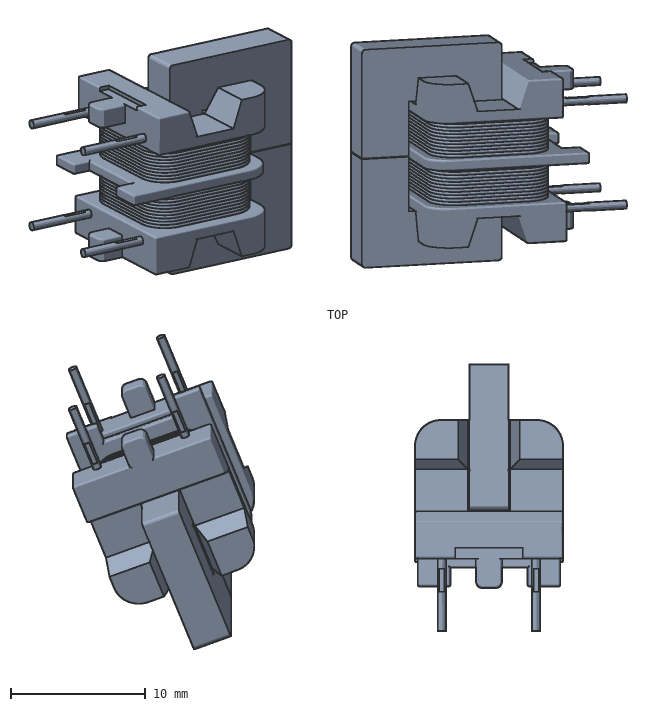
import cadquery as cq
import math

core_width = 2.93
core_height = 16.5
core_back = 9.4
leg_half_depth = 1.47
leg_y = 0.05
window_back = 5.78
window_half_height = 4.15
core_edge_radius = 0.3
core_joint_gap = 0.05

passage_half = 1.56
flange_width = 11.0
flange_back = 5.29
flange_corner_radius = 1.96
edge_radius = 0.15
upper_flange_front = -5.0
lower_flange_front = -5.29
channel_mouth_half = 2.3

middle_half_thickness = 0.42
flange_inner = 3.19
channel_floor = 4.04
flange_outer = 6.18
bobbin_z = channel_floor - window_half_height

middle_width = 10.6
middle_front = -7.09
notch_front = -5.7
notch_width = 5.7

winding_size = 9.23
winding_corner_radius = 2.1
turns_per_section = 11
turn_pitch = (flange_inner - middle_half_thickness) / turns_per_section
winding_band = 0.99

tab_width = 1.95
tab_front = -7.2
tab_inner = 4.38
tab_corner_radius = 0.5
recess_width = 5.03
recess_back = -4.22
recess_depth = 0.3

pin_x = 3.5
pin_z = 4.02
pin_radius = 0.32
pin_front = -10.4
pin_embedding = 0.99
pin_flat_front = -7.48
pin_flat_back = -5.76
pin_flat_half_height = 0.25


def span_box(x_half, y_min, y_max, z_min, z_max):
    """Box centred on X = 0 between the given Y and Z limits."""
    size = (2 * x_half, y_max - y_min, z_max - z_min)
    box = cq.Workplane("XY").box(*size, centered=(True, False, False))
    return box.translate((0, y_min, z_min))


def make_core():
    half_height = core_height / 2
    core = span_box(core_width / 2, leg_y - leg_half_depth, core_back, -half_height, half_height)
    core = core.edges("|X").fillet(core_edge_radius)
    window = span_box(core_width, leg_y + leg_half_depth, window_back, -window_half_height, window_half_height)
    joint = span_box(core_width, window_back, core_back, -core_joint_gap / 2, core_joint_gap / 2)
    return core.cut(window).cut(joint)


def channel_profile(plane):
    """Trapezoid that widens from the channel floor to the outer face."""
    return cq.Workplane(plane).polyline(
        [
            (-passage_half, channel_floor),
            (passage_half, channel_floor),
            (channel_mouth_half, flange_outer),
            (-channel_mouth_half, flange_outer),
        ]
    ).close()


def make_end_flange(front):
    """End flange on the +Z side of the bobbin, with sloped channels for the core arm."""
    half_width = flange_width / 2
    flange = span_box(half_width, front, flange_back, flange_inner, flange_outer)
    flange = flange.edges("|Z and >Y").fillet(flange_corner_radius)
    flange = flange.edges("|Z and <Y").fillet(edge_radius)
    flange = flange.faces("<Z").edges().fillet(edge_radius)

    cross_channel = channel_profile("YZ").extrude(half_width, both=True).translate((0, leg_y, 0))
    rear_channel = channel_profile("XZ").extrude(-flange_back)
    passage = span_box(passage_half, leg_y - passage_half, leg_y + passage_half, flange_inner, flange_outer)
    flange = flange.cut(cross_channel).cut(rear_channel).cut(passage)

    outer_edges = cq.selectors.BoxSelector(
        (-flange_width, 2 * front, flange_outer - edge_radius / 2),
        (flange_width, -passage_half, 2 * flange_outer),
    )
    slope_ends = cq.selectors.BoxSelector(
        (-flange_width, -channel_mouth_half, channel_floor + edge_radius),
        (flange_width, -passage_half, flange_outer - edge_radius),
    )
    return flange.edges(outer_edges + slope_ends).fillet(edge_radius)


def make_middle_flange():
    half_width = middle_width / 2
    flange = span_box(half_width, middle_front, flange_back, -middle_half_thickness, middle_half_thickness)
    notch = span_box(notch_width / 2, middle_front, notch_front, -flange_inner, flange_inner)
    flange = flange.edges("|Z and >Y").fillet(flange_corner_radius)
    flange = flange.cut(notch)
    flange = flange.edges("|Z and <Y").fillet(edge_radius)
    return flange.faces("<Z or >Z").edges().fillet(edge_radius)


def make_winding():
    """One winding section resting on Z = 0: a scalloped band of turns around a plain core block."""
    height = turns_per_section * turn_pitch
    surface = winding_size / 2 - turn_pitch / 2
    inside = winding_size / 2 - winding_band
    profile = cq.Workplane("YZ").moveTo(inside, 0).lineTo(surface, 0)
    for number in range(turns_per_section):
        bottom = number * turn_pitch
        profile = profile.threePointArc(
            (winding_size / 2, bottom + turn_pitch / 2),
            (surface, bottom + turn_pitch),
        )
    profile = profile.lineTo(inside, height).close()

    path_half = winding_size / 2
    straight_half = path_half - winding_corner_radius
    corner_middle = straight_half + winding_corner_radius * math.sqrt(0.5)
    path = (
        cq.Workplane("XY")
        .moveTo(0, path_half)
        .lineTo(straight_half, path_half)
        .threePointArc((corner_middle, corner_middle), (path_half, straight_half))
        .lineTo(path_half, 0)
    )
    quarter = profile.sweep(path)
    winding = cq.Workplane("XY").rect(2 * surface - winding_band, 2 * surface - winding_band).extrude(height)
    winding = winding.edges("|Z").fillet(winding_corner_radius - winding_band / 2)
    for number in range(4):
        winding = winding.union(quarter.rotate((0, 0, 0), (0, 0, 1), 90 * number))
    return winding


def make_tab(outer):
    """Standoff tab on the +Z side, reaching out to the given height."""
    tab = span_box(tab_width / 2, tab_front, recess_back, tab_inner, outer)
    tab = tab.edges("|Z and <Y").fillet(tab_corner_radius)
    return tab.faces("<Z or >Z").edges("not >Y").fillet(edge_radius)


def make_pin(flange_front):
    """Pin along Y on the axis X = Z = 0, with a flat pressed into its top and bottom."""
    length = flange_front + pin_embedding - pin_front
    pin = cq.Workplane("XZ", origin=(0, pin_front, 0)).circle(pin_radius).extrude(-length)
    pressed = span_box(pin_radius, pin_flat_front, pin_flat_back, pin_flat_half_height, pin_radius)
    return pin.cut(pressed).cut(pressed.mirror("XY"))


def make_end(front, tab_outer):
    """End flange with its tab and two pins."""
    end = make_end_flange(front)
    if tab_outer < flange_outer:
        end = end.cut(span_box(recess_width / 2, front, recess_back, tab_outer, flange_outer))
    end = end.union(make_tab(tab_outer))
    for side in (-1, 1):
        end = end.union(make_pin(front).translate((side * pin_x, 0, pin_z)))
    return end


def make_bobbin():
    upper_end = make_end(upper_flange_front, flange_outer - recess_depth)
    lower_end = make_end(lower_flange_front, flange_outer).mirror("XY")
    bobbin = make_middle_flange().union(upper_end).union(lower_end)

    winding = make_winding()
    for section_bottom in (-flange_inner, middle_half_thickness):
        bobbin = bobbin.union(winding.translate((0, 0, section_bottom)))
    return bobbin


result = make_core().union(make_bobbin().translate((0, 0, bobbin_z)))